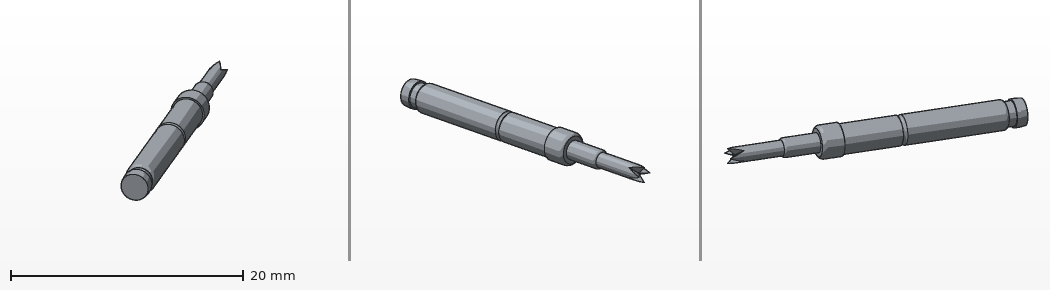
import cadquery as cq
import math


overall_length = 27.3
tip_length = 5.0
collar_length = 3.3
head_length = 2.0
groove_center = 5.65
body_length = 15.3
knob_length = 1.0
knob_straight_length = 0.4

plunger_diameter = 1.4
collar_diameter = 1.75
head_diameter = 3.0
body_diameter = 2.7
neck_diameter = 2.25
knob_diameter = 2.55
knob_end_diameter = 2.42

collar_rounding_length = 0.23
head_rounding_width = 0.25
head_rounding_length = 0.4
body_rounding_width = 0.2
body_rounding_length = 0.32
groove_radius = 0.2

tooth_count = 4
crown_center_depth = 0.67
crown_valley_depth = 1.35

head_front = head_length
collar_front = head_front + collar_length
tip = collar_front + tip_length
tail = tip - overall_length
body_end = -body_length
knob_start = tail + knob_length
knob_curve_start = knob_start - knob_straight_length

plunger_radius = plunger_diameter / 2
collar_radius = collar_diameter / 2
head_radius = head_diameter / 2
body_radius = body_diameter / 2
neck_radius = neck_diameter / 2
knob_radius = knob_diameter / 2
knob_end_radius = knob_end_diameter / 2


def revolve_about_axis(profile):
    """Revolve a profile, drawn with X as radius and Y as station, about Y."""
    return profile.close().revolve(360, (0, 0, 0), (0, 1, 0))


def make_plunger():
    """Plunger shaft with the stepped, rounded collar behind it.

    The collar is drawn from the back so that its rounding starts tangent to
    the cylinder and runs down to the plunger surface.
    """
    profile = (
        cq.Workplane("XY")
        .moveTo(0, 0)
        .lineTo(collar_radius, 0)
        .lineTo(collar_radius, collar_front - collar_rounding_length)
        .tangentArcPoint((plunger_radius, collar_front), relative=False)
        .lineTo(plunger_radius, tip)
        .lineTo(0, tip)
    )
    return revolve_about_axis(profile)


def make_head():
    """Head of the receptacle, rounded at its front edge."""
    profile = (
        cq.Workplane("XY")
        .moveTo(0, 0)
        .lineTo(head_radius, 0)
        .lineTo(head_radius, head_front - head_rounding_length)
        .tangentArcPoint((head_radius - head_rounding_width, head_front), relative=False)
        .lineTo(0, head_front)
    )
    return revolve_about_axis(profile)


def make_body():
    """Long body with a rounded end, then the neck and the barrelled knob."""
    profile = (
        cq.Workplane("XY")
        .moveTo(0, 0)
        .lineTo(body_radius, 0)
        .lineTo(body_radius, body_end + body_rounding_length)
        .tangentArcPoint((body_radius - body_rounding_width, body_end), relative=False)
        .lineTo(neck_radius, body_end)
        .lineTo(neck_radius, knob_start)
        .lineTo(knob_radius, knob_start)
        .lineTo(knob_radius, knob_curve_start)
        .tangentArcPoint((knob_end_radius, tail), relative=False)
        .lineTo(0, tail)
    )
    return revolve_about_axis(profile)


def make_groove():
    """Ring of round section that cuts the half-round groove in the body."""
    return (
        cq.Workplane("XY")
        .center(body_radius, -groove_center)
        .circle(groove_radius)
        .revolve(360, (-body_radius, 0, 0), (-body_radius, 1, 0))
    )


def make_valley():
    """V-shaped wedge for one crown valley.

    The valley starts on the axis and falls outward, halfway between two
    teeth. Its flanks pass through the points of those two teeth.
    """
    valley_angle = math.pi / tooth_count
    outward = cq.Vector(math.cos(valley_angle), 0, math.sin(valley_angle))
    fall = cq.Vector(0, crown_center_depth - crown_valley_depth, 0)
    valley_direction = (outward * plunger_radius + fall).normalized()
    sideways = cq.Vector(math.sin(valley_angle), 0, -math.cos(valley_angle))

    valley_start = cq.Vector(0, tip - crown_center_depth, 0)
    section = cq.Plane(origin=valley_start, xDir=sideways, normal=valley_direction)

    tooth_point = cq.Vector(plunger_radius, tip, 0)
    flank = section.toLocalCoords(tooth_point)
    overshoot = 3
    half_width = overshoot * flank.x
    height = overshoot * flank.y
    return (
        cq.Workplane(section)
        .polyline([(0, 0), (half_width, height), (-half_width, height)])
        .close()
        .extrude(overshoot * plunger_radius, both=True)
    )


def cut_crown(part):
    """Cut the valleys that leave the pointed teeth of the crown."""
    valley = make_valley()
    for index in range(tooth_count):
        angle = index * 360 / tooth_count
        part = part.cut(valley.rotate((0, 0, 0), (0, 1, 0), angle))
    return part


plunger = cut_crown(make_plunger())
receptacle = make_head().union(make_body()).cut(make_groove())
result = receptacle.union(plunger)